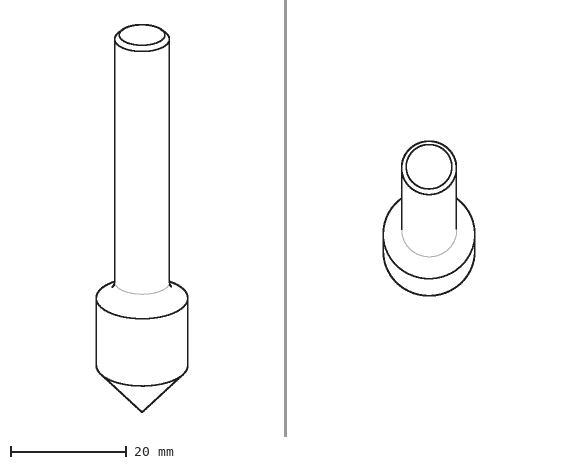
import cadquery as cq
import math

total_length = 73.15
head_diameter = 15.9
shank_diameter = 9.5
head_top_z = 22.2
tip_angle = 82.0
end_chamfer = 0.8

head_radius = head_diameter / 2
shank_radius = shank_diameter / 2
fillet_radius = head_radius - shank_radius
tip_height = head_radius / math.tan(math.radians(tip_angle / 2))


def make_tip():
    """Conical tip, pointing down, with its flat base against the head."""
    return cq.Workplane(cq.Solid.makeCone(0, head_radius, tip_height))


def make_body():
    """Head and shank in one piece, joined by a concave quarter-round."""
    fillet_center = (head_radius, head_top_z + fillet_radius)
    arc_offset = fillet_radius * math.sqrt(0.5)
    arc_middle = (fillet_center[0] - arc_offset, fillet_center[1] - arc_offset)
    return (
        cq.Workplane("XZ")
        .moveTo(0, tip_height)
        .lineTo(head_radius, tip_height)
        .lineTo(head_radius, head_top_z)
        .threePointArc(arc_middle, (shank_radius, fillet_center[1]))
        .lineTo(shank_radius, total_length - end_chamfer)
        .lineTo(shank_radius - end_chamfer, total_length)
        .lineTo(0, total_length)
        .close()
        .revolve(360, (0, 0, 0), (0, 1, 0))
    )


tip = make_tip()
body = make_body()

result = cq.Compound.makeCompound([body.val(), tip.val()])